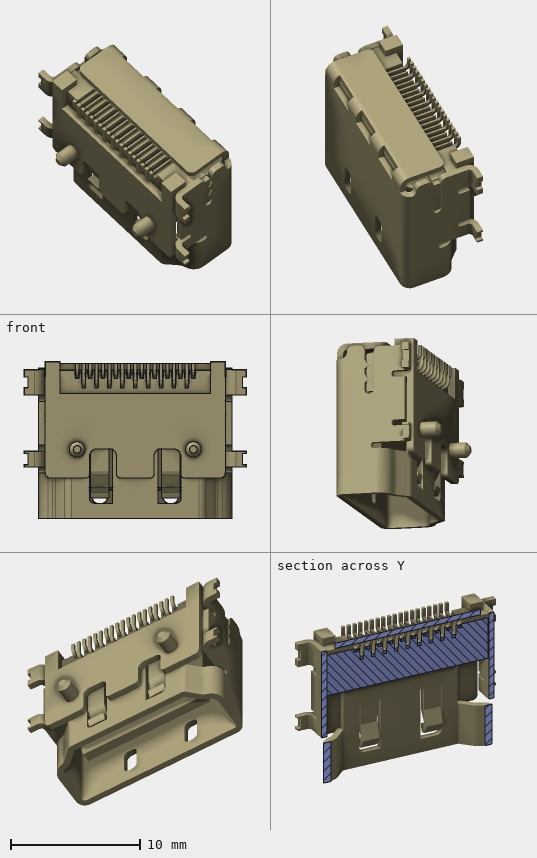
import cadquery as cq


sheet = 0.5
fit = 0.02

shell_half_width = 7.5
shell_back = 6.21
shell_front = 0.6
corner_radius = 0.8
inner_radius = corner_radius - sheet
shell_half_inside = shell_half_width - sheet
shell_inside_back = shell_back - sheet
shell_inside_front = shell_front + sheet
mouth_top = 3.53
front_panel_half_width = 4.95
front_bend_end = (5.47, 0.86)
shoulder_slope_top = (6.2, 1.55)
shoulder_valley_end = (6.4, 1.69)
shoulder_end = (6.76, 1.82)
side_bend_end_y = 2.8
front_panel_top = 9.06

relief_width = 0.46
relief_radius = 0.22
relief_depth_y = 3.29
foot_slot_depth_y = 1.62
foot_slot_radius = 0.19
lower_foot_bottom = mouth_top + relief_width
lower_foot_top = 5.23
upper_foot_bottom = 9.56
side_top = 11.54
prong_front = 3.78
side_edge_radius = 0.46
latch_slot_front = 3.06
latch_slot_bottom = 7.81
barb_depth = 0.3
barb_height = 0.69
barb_peak_drop = 0.48
barb_tops = (10.53, 9.4)
corner_top = 10.68
prong_root_radius = 0.52
prong_back = shell_inside_back - prong_root_radius
prong_top = corner_top + prong_root_radius + side_edge_radius

foot_half_span = 8.6
foot_notch_depth = 0.28
upper_foot_notch = (10.15, 10.97)
lower_foot_notch = (4.2, 5.04)

hood_top = 12.02
hood_half_width = 6.69
hood_front = 2.3
hood_window_width = 2.51
hood_window_pitch = 4.0

finger_inner_x = 2.03
finger_outer_x = 3.45
finger_x = (finger_inner_x + finger_outer_x) / 2
window_outer_x = 3.56
window_inner_x = 1.75
window_bottom = 1.19
window_top = 5.5
window_radius = 0.43
finger_thickness = 0.31
finger_bend_top = 3.63
finger_bend_depth = 0.07
finger_bend_height = 0.25
finger_knee_y = 1.24
finger_knee_z = 2.37
finger_hook_y = 0.57
finger_hook_top = 2.24
finger_hook_bottom = 2.08
finger_tip_y = 0.75
finger_tip_z = 1.6
back_window_width = 1.14
back_window_top = 3.61

housing_half_width = shell_half_inside - fit
plate_thickness = 0.52
plate_bottom = 3.15
plate_radius = 0.41
block_bottom = 9.15
block_top = 11.47
inner_block_bottom = 7.57
middle_block_top = 11.15
middle_block_front = 2.32
rear_block_top = 10.99
rear_block_radius = 0.14
block_back = shell_inside_back - fit
block_chamfer = 0.52
post_top = 12.16
post_back = 1.51
post_inner_x = 5.83
recess_bottom = 9.68
recess_depth = 0.58
cutout_outer_x = 3.51
cutout_inner_x = 1.46
cutout_top = 5.4
cutout_radius = 0.52
cutout_mouth_radius = 0.33
peg_diameter = 1.2
peg_length = 1.57
peg_chamfer = 0.31
peg_x = 4.5
peg_z = 5.37
lug_back = 3.63
lug_bottom = 8.03
lug_top = 11.0
lug_half_span = 7.4

contact_count = 19
contact_row = 9.0
contact_pitch = contact_row / (contact_count - 1)
contact_width = 0.25
contact_thickness = 0.25
contact_tip = hood_top
short_tail_bottom = 10.85
long_tail_bottom = 10.11
rib_top_width = 0.12
tongue_front = 2.95
tongue_thickness = 1.0
tongue_bottom = 2.18
tongue_chamfer = 0.24
tongue_half_width = 5.5

OVER = 0.17


def block(x_range, y_range, z_range):
    """Box between two limits along each axis."""
    size = [high - low for low, high in (x_range, y_range, z_range)]
    return cq.Workplane("XY").box(*size, centered=False).translate((x_range[0], y_range[0], z_range[0]))


def both_sides(body):
    """A body together with its mirror image across X = 0."""
    return body.union(body.mirror("YZ"))


def along_x(outline, half_length):
    """Extrude a YZ outline to both sides of X = 0."""
    return outline.extrude(half_length, both=True)


def half_mouth_outline():
    """Right half of the mouth's outer outline, from the front middle to the back middle."""
    return (
        cq.Workplane("XY")
        .moveTo(0, shell_front)
        .lineTo(front_panel_half_width, shell_front)
        .tangentArcPoint(front_bend_end, relative=False)
        .lineTo(*shoulder_slope_top)
        .tangentArcPoint(shoulder_valley_end, relative=False)
        .lineTo(*shoulder_end)
        .tangentArcPoint((shell_half_width, side_bend_end_y), relative=False)
        .lineTo(shell_half_width, shell_back - corner_radius)
        .radiusArc((shell_half_width - corner_radius, shell_back), -corner_radius)
        .lineTo(0, shell_back)
    )


def mouth_tube():
    """Closed sheet tube around the mouth."""
    outside = half_mouth_outline().mirrorY().extrude(mouth_top)
    cavity = half_mouth_outline().mirrorY().offset2D(-sheet).extrude(mouth_top)
    return outside.cut(cavity)


def side_slot(deep_y, z_range, radius):
    """Slot through both side walls, open to the front, with rounded corners at deep_y."""
    slot = block((-foot_half_span, foot_half_span), (0, deep_y), z_range)
    return slot.edges("|X and >Y").fillet(radius)


def side_outline():
    """Side wall outline in YZ, with the latch slot, its barbs and the free prong."""
    slot_radius = (prong_front - latch_slot_front) / 2
    slot_arc_z = latch_slot_bottom + slot_radius
    outline = (
        cq.Workplane("YZ")
        .moveTo(shell_front, mouth_top)
        .lineTo(shell_front, side_top)
        .lineTo(latch_slot_front - side_edge_radius, side_top)
        .radiusArc((latch_slot_front, side_top - side_edge_radius), side_edge_radius)
        .lineTo(latch_slot_front, slot_arc_z)
        .threePointArc((latch_slot_front + slot_radius, latch_slot_bottom), (prong_front, slot_arc_z))
    )
    for top in reversed(barb_tops):
        outline = (
            outline.lineTo(prong_front, top - barb_height)
            .lineTo(prong_front - barb_depth, top - barb_peak_drop)
            .lineTo(prong_front, top)
        )
    return (
        outline.lineTo(prong_front, prong_top - side_edge_radius)
        .radiusArc((prong_front + side_edge_radius, prong_top), side_edge_radius)
        .lineTo(prong_back - side_edge_radius, prong_top)
        .radiusArc((prong_back, prong_top - side_edge_radius), side_edge_radius)
        .radiusArc((shell_inside_back, corner_top), -prong_root_radius)
        .lineTo(shell_back, corner_top)
        .lineTo(shell_back, mouth_top)
        .close()
    )


def side_and_back_walls():
    """U of side walls and back wall above the mouth tube."""
    walls = along_x(side_outline(), shell_half_width)
    walls = walls.edges("|Z and >Y").fillet(corner_radius)
    cavity = block(
        (-shell_half_inside, shell_half_inside),
        (0, shell_inside_back),
        (mouth_top - OVER, prong_top + OVER),
    )
    walls = walls.cut(cavity.edges("|Z and >Y").fillet(inner_radius))
    for deep_y, bottom, top, radius in (
        (relief_depth_y, mouth_top, lower_foot_bottom, relief_radius),
        (foot_slot_depth_y, lower_foot_top, lower_foot_top + relief_width, foot_slot_radius),
        (foot_slot_depth_y, front_panel_top, upper_foot_bottom, foot_slot_radius),
    ):
        walls = walls.cut(side_slot(deep_y, (bottom, top), radius))
    return walls


def foot(z_range, notch):
    """Solder foot bent outward from the right side wall, with a notch in its end."""
    bottom, top = z_range
    inside_x = shell_half_inside
    outline = (
        cq.Workplane("XY")
        .moveTo(inside_x, corner_radius)
        .radiusArc((inside_x + corner_radius, 0), -corner_radius)
        .lineTo(foot_half_span, 0)
        .lineTo(foot_half_span, sheet)
        .lineTo(inside_x + corner_radius, sheet)
        .radiusArc((shell_half_width, corner_radius), inner_radius)
        .close()
    )
    body = outline.extrude(top - bottom).translate((0, 0, bottom))
    return body.cut(block((foot_half_span - foot_notch_depth, foot_half_span), (0, sheet), notch))


def with_feet(walls):
    """The walls with their front ends replaced by the four bent feet."""
    for z_range, notch in (
        ((lower_foot_bottom, lower_foot_top), lower_foot_notch),
        ((upper_foot_bottom, side_top), upper_foot_notch),
    ):
        wall_end = block((-foot_half_span, foot_half_span), (0, corner_radius), z_range)
        walls = walls.cut(wall_end).union(both_sides(foot(z_range, notch)))
    return walls


def hood():
    """Flap rising from the back wall and bent forward over the housing."""
    bend_y = shell_back - corner_radius
    bend_z = hood_top - corner_radius
    outline = (
        cq.Workplane("YZ")
        .moveTo(shell_back, corner_top)
        .lineTo(shell_back, bend_z)
        .radiusArc((bend_y, hood_top), -corner_radius)
        .lineTo(hood_front, hood_top)
        .lineTo(hood_front, hood_top - sheet)
        .lineTo(bend_y, hood_top - sheet)
        .radiusArc((shell_inside_back, bend_z), inner_radius)
        .lineTo(shell_inside_back, corner_top)
        .close()
    )
    flap = along_x(outline, hood_half_width)
    flap = flap.edges("|Z and <Y").fillet(sheet)
    for index in (-1, 0, 1):
        middle = index * hood_window_pitch
        flap = flap.cut(
            block(
                (middle - hood_window_width / 2, middle + hood_window_width / 2),
                (shell_inside_back - fit, shell_back),
                (corner_top, hood_top),
            )
        )
    return flap


def front_window():
    """Right-hand opening around a spring finger, with one rounded lower corner."""
    opening = block(
        (window_inner_x, window_outer_x),
        (shell_front, shell_inside_front),
        (window_bottom, window_top),
    )
    return opening.edges("|Y and <Z and >X").fillet(window_radius)


def back_window():
    """Right-hand rounded opening through the back wall."""
    opening = block(
        (finger_x - back_window_width / 2, finger_x + back_window_width / 2),
        (shell_inside_back, shell_back),
        (window_bottom, back_window_top),
    )
    return opening.edges("|Y").fillet(window_radius)


def spring_finger():
    """Right-hand finger hanging from the window's top, bent inward, hooked out and tapered to its tip."""
    slope_start = (shell_front + finger_bend_depth, finger_bend_top - finger_bend_height)
    outline = (
        cq.Workplane("YZ")
        .moveTo(shell_inside_front, window_top)
        .lineTo(shell_front, window_top)
        .lineTo(shell_front, finger_bend_top)
        .tangentArcPoint(slope_start, relative=False)
        .lineTo(finger_knee_y, finger_knee_z)
        .lineTo(finger_hook_y, finger_hook_top)
        .lineTo(finger_hook_y, finger_hook_bottom)
        .lineTo(finger_tip_y, finger_tip_z)
        .lineTo(finger_tip_y + finger_thickness, finger_tip_z)
        .lineTo(finger_knee_y + finger_thickness, finger_knee_z)
        .lineTo(shell_inside_front, finger_bend_top)
        .close()
    )
    return outline.extrude(finger_outer_x - finger_inner_x).translate((finger_inner_x, 0, 0))


def make_shell():
    """Walls, feet, mouth tube, front panel and hood, with the windows and spring fingers."""
    panel = block(
        (-front_panel_half_width, front_panel_half_width),
        (shell_front, shell_inside_front),
        (mouth_top, front_panel_top),
    )
    body = with_feet(side_and_back_walls()).union(mouth_tube()).union(panel).union(hood())
    body = body.cut(both_sides(front_window())).cut(both_sides(back_window()))
    return body.union(both_sides(spring_finger()))


def contact_x(index):
    """X of the middle of one contact."""
    return (index - (contact_count - 1) / 2) * contact_pitch


def tail_bottom(index):
    """Short and long tails alternate, starting and ending with a short one."""
    return short_tail_bottom if index % 2 == 0 else long_tail_bottom


def contact(index):
    """J-shaped tail: an upright leg in the recess, bent back into the housing at its foot."""
    bottom = tail_bottom(index)
    bend_radius = recess_depth
    outline = (
        cq.Workplane("YZ")
        .moveTo(0, contact_tip)
        .lineTo(0, bottom + bend_radius)
        .radiusArc((bend_radius, bottom), -bend_radius)
        .lineTo(tongue_front, bottom)
        .lineTo(tongue_front, bottom + contact_thickness)
        .lineTo(bend_radius, bottom + contact_thickness)
        .radiusArc((contact_thickness, bottom + bend_radius), bend_radius - contact_thickness)
        .lineTo(contact_thickness, contact_tip)
        .close()
    )
    return along_x(outline, contact_width / 2).translate((contact_x(index), 0, 0))


def make_contact_insert():
    """Tongue of the connector with all the contact tails fixed to it."""
    body = block(
        (-tongue_half_width, tongue_half_width),
        (tongue_front, tongue_front + tongue_thickness),
        (tongue_bottom, rear_block_top),
    )
    body = body.edges("|X and <Y and <Z").chamfer(tongue_chamfer)
    for index in range(contact_count):
        body = body.union(contact(index))
    return body


def plate_cutout():
    """Right-hand arched opening in the plate's lower edge, over a spring finger."""
    mouth = cutout_mouth_radius
    outline = (
        cq.Workplane("XZ")
        .moveTo(cutout_inner_x - mouth, plate_bottom)
        .radiusArc((cutout_inner_x, plate_bottom + mouth), -mouth)
        .lineTo(cutout_inner_x, cutout_top - cutout_radius)
        .radiusArc((cutout_inner_x + cutout_radius, cutout_top), cutout_radius)
        .lineTo(cutout_outer_x - cutout_radius, cutout_top)
        .radiusArc((cutout_outer_x, cutout_top - cutout_radius), cutout_radius)
        .lineTo(cutout_outer_x, plate_bottom + mouth)
        .radiusArc((cutout_outer_x + mouth, plate_bottom), -mouth)
        .close()
    )
    return outline.extrude(-plate_thickness)


def peg():
    """Right-hand locating peg on the board side of the plate."""
    body = cq.Workplane("XZ").center(peg_x, peg_z).circle(peg_diameter / 2).extrude(peg_length)
    return body.faces("<Y").chamfer(peg_chamfer)


def housing_block():
    """Block inside the shell: three levels on top, a lower reach inside, chamfered back corners."""
    width = (-housing_half_width, housing_half_width)
    body = block(width, (0, lug_back), (block_bottom, middle_block_top))
    body = body.edges("|X and >Y and >Z").fillet(rear_block_radius)
    body = body.union(block(width, (0, middle_block_front), (block_bottom, block_top)))
    inside = block(width, (shell_inside_front + fit, block_back), (inner_block_bottom, rear_block_top))
    return body.union(inside.edges("|Z and >Y").chamfer(block_chamfer))


def latch_lugs():
    """Lugs on both sides of the block that stand in the shell's latch slots."""
    lug = block((housing_half_width, lug_half_span), (latch_slot_front, lug_back), (lug_bottom, lug_top))
    return both_sides(lug)


def contact_slot(index):
    """Open slot above a tail, wider at the top so that the ribs between slots taper."""
    bottom = tail_bottom(index)
    half_bottom = contact_width / 2
    half_top = (contact_pitch - rib_top_width) / 2
    outline = (
        cq.Workplane("XZ")
        .moveTo(-half_bottom, bottom)
        .lineTo(half_bottom, bottom)
        .lineTo(half_top, block_top)
        .lineTo(-half_top, block_top)
        .close()
    )
    return outline.extrude(-(tongue_front - recess_depth)).translate((contact_x(index), recess_depth, 0))


def make_housing(insert, shell_body):
    """Plate, block, posts, lugs and pegs, with the insert's seat and the bites of the shell's barbs."""
    width = (-housing_half_width, housing_half_width)
    body = block(width, (0, plate_thickness), (plate_bottom, block_top))
    body = body.edges("|Y and <Z").fillet(plate_radius)
    body = body.cut(both_sides(plate_cutout())).union(housing_block())
    post = block((post_inner_x, housing_half_width), (0, post_back), (block_top, post_top))
    body = body.union(both_sides(post))
    body = body.cut(block((-post_inner_x, post_inner_x), (0, recess_depth), (recess_bottom, block_top)))
    body = body.union(latch_lugs()).union(both_sides(peg()))
    for index in range(contact_count):
        body = body.cut(contact_slot(index))
    return body.cut(insert).cut(shell_body)


shell = make_shell().solids()
contact_insert = make_contact_insert().solids()
housing = make_housing(contact_insert, shell).solids()

result = cq.Compound.makeCompound([shell.val(), housing.val(), contact_insert.val()])